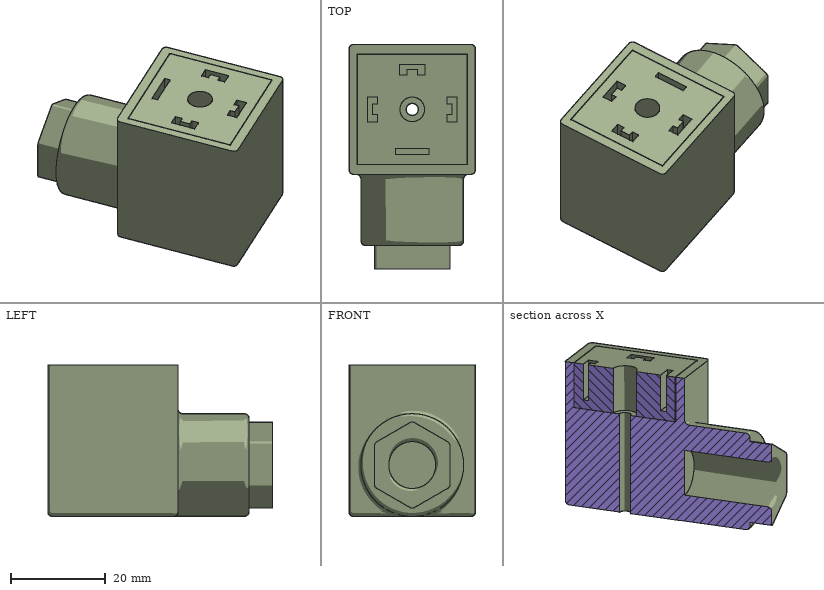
import cadquery as cq
import math

block_width = 26.7
block_depth = 27.5
block_height = 32.04
edge_radius = 1.0
front_y = -block_depth / 2

neck_diameter = 21.7
neck_length = 15.0
neck_ground_clearance = 0.04
neck_axis_z = neck_diameter / 2 + neck_ground_clearance
neck_end_y = front_y - neck_length
nut_sides = 6
nut_across_flats = 16.0
nut_length = 5.0
nut_corner_radius = 1.0
nut_end_y = neck_end_y - nut_length
bore_diameter = 9.9
bore_depth = nut_length + neck_length
bore_mouth_radius = 1.0

insert_size = 23.2
insert_thickness = 10.0
pocket_gap = 0.08
pocket_floor_z = block_height - insert_thickness
pocket_size = insert_size + 2 * pocket_gap

screw_head_diameter = 5.2
screw_hole_diameter = 2.5

slot_depth = 8.0
slot_reach = 9.5
contact_length = 5.3
contact_width = 2.2
notch_length = 2.2
notch_width = 1.1
contact_angles = (0, 90, 180)
ground_length = 7.1
ground_width = 1.25


def cylinder_along_y(diameter, start_y, length):
    """Cylinder on the outlet axis, running from start_y toward -Y."""
    plane = cq.Workplane("XZ", origin=(0, start_y, neck_axis_z))
    return plane.circle(diameter / 2).extrude(length)


def make_block_with_neck():
    block = cq.Workplane("XY").box(block_width, block_depth, block_height, centered=(True, True, False))
    block = block.edges("|Z").fillet(edge_radius).faces("<Z").edges().fillet(edge_radius)
    body = block.union(cylinder_along_y(neck_diameter, 0, neck_length - front_y))
    root_box = cq.selectors.BoxSelector(
        (-block_width, front_y - edge_radius / 2, -edge_radius),
        (block_width, front_y + 2 * edge_radius, neck_axis_z + neck_diameter),
        boundingbox=True,
    )
    root_edges = body.edges(root_box).edges("not(%LINE)")
    root_edges = root_edges.filter(lambda edge: edge.BoundingBox().xlen > 2 * edge_radius)
    return root_edges.fillet(edge_radius).faces("<Y").edges().fillet(edge_radius)


def make_nut():
    across_corners = nut_across_flats / math.cos(math.pi / nut_sides)
    plane = cq.Workplane("XZ", origin=(0, neck_end_y, neck_axis_z))
    nut = plane.transformed(rotate=(0, 0, 90)).polygon(nut_sides, across_corners).extrude(nut_length)
    return nut.edges("|Y").fillet(nut_corner_radius)


def make_housing():
    body = make_block_with_neck().union(make_nut())
    body = body.cut(cylinder_along_y(bore_diameter, nut_end_y + bore_depth, bore_depth))
    bore_rim = cq.selectors.RadiusNthSelector(-1)
    body = body.faces("<Y").edges("%CIRCLE").edges(bore_rim).fillet(bore_mouth_radius)
    pocket = cq.Workplane("XY", origin=(0, 0, pocket_floor_z)).rect(pocket_size, pocket_size)
    body = body.cut(pocket.extrude(insert_thickness))
    return body.cut(cq.Workplane("XY").circle(screw_hole_diameter / 2).extrude(block_height))


def make_contact_slot():
    """C-shaped slot on the +X side, with its notch facing the centre."""
    floor = cq.Workplane("XY", origin=(0, 0, block_height - slot_depth))
    inner_x = slot_reach - contact_width
    slot = floor.center(inner_x + contact_width / 2, 0).rect(contact_width, contact_length).extrude(slot_depth)
    notch = floor.center(inner_x + notch_width / 2, 0).rect(notch_width, notch_length).extrude(slot_depth)
    return slot.cut(notch)


def make_insert():
    floor = cq.Workplane("XY", origin=(0, 0, pocket_floor_z))
    body = floor.rect(insert_size, insert_size).circle(screw_head_diameter / 2).extrude(insert_thickness)
    for angle in contact_angles:
        body = body.cut(make_contact_slot().rotate((0, 0, 0), (0, 0, 1), angle))
    slot_floor = cq.Workplane("XY", origin=(0, ground_width / 2 - slot_reach, block_height - slot_depth))
    return body.cut(slot_floor.rect(ground_length, ground_width).extrude(slot_depth))


housing = make_housing()
insert = make_insert()

result = cq.Compound.makeCompound([housing.val(), insert.val()])